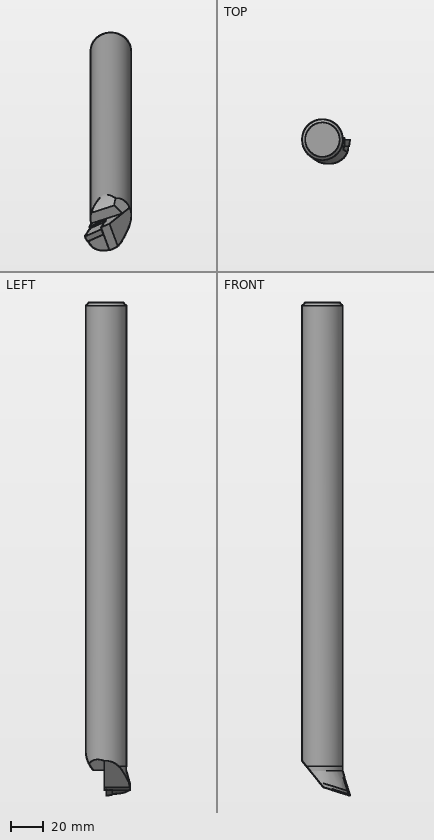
import cadquery as cq
import math


overall_length = 301.25
shank_diameter = 25.0
shank_radius = shank_diameter / 2
end_chamfer = 2.0
neck_diameter = 24.98
shank_bottom_z = 17.9
neck_bottom_z = 15.2

edge_angle = 17.5
edge_slope = math.tan(math.radians(edge_angle))
edge_cosine = math.cos(math.radians(edge_angle))
tip_x = 16.89

insert_corner_angle = 90 - 2 * edge_angle
insert_inscribed_diameter = 9.525
insert_thickness = 3.9
insert_clearance = 7.0
nose_radius = 0.4

half_corner = math.radians(insert_corner_angle / 2)
insert_side = insert_inscribed_diameter / math.sin(2 * half_corner)
half_long_diagonal = insert_side * math.cos(half_corner)
half_short_diagonal = insert_side * math.sin(half_corner)

nose_offset = nose_radius * (1 / math.sin(half_corner) * math.sqrt(0.5) - 1)
corner_x = tip_x + nose_offset
corner_z = -nose_offset
insert_center_x = corner_x - half_long_diagonal * math.sqrt(0.5)
insert_center_z = corner_z + half_long_diagonal * math.sqrt(0.5)

head_face_y = 1.15
head_floor_z = 15.5
back_angle = 51.2
back_slope = math.tan(math.radians(back_angle))
back_top_z = 21.3
back_twist = 19.2
flare_slope = 0.286
flare_break = 2.6
end_relief = 0.1
lower_end_relief = 0.75
side_relief = 0.8
relief_length = insert_side * edge_cosine

gullet_top_z = 27.5
gullet_radius = 17.4

reach = 2 * shank_diameter


def end_line_z(x, relief):
    """Height of the line parallel to the end cutting edge, set back by relief."""
    return corner_z + (corner_x - x) * edge_slope + relief / edge_cosine


def side_line_x(z, relief):
    """X of the line parallel to the side cutting edge, set back by relief."""
    return corner_x - (z - corner_z) * edge_slope - relief / edge_cosine


def toe_point(end_set_back, side_set_back):
    """X and Z where the set back end face meets the set back side face."""
    end_rise = end_set_back / edge_cosine
    side_shift = side_set_back / edge_cosine
    from_corner_z = (end_rise + side_shift * edge_slope) / (1 - edge_slope**2)
    from_corner_x = side_shift + from_corner_z * edge_slope
    return corner_x - from_corner_x, corner_z + from_corner_z


def prism_along_y(points, y_from, y_to):
    """Prism with an outline in X and Z, reaching from y_from to y_to."""
    return (
        cq.Workplane("XZ", origin=(0, y_from, 0))
        .polyline(points)
        .close()
        .extrude(y_from - y_to)
    )


def make_shank():
    shank = (
        cq.Workplane("XY", origin=(0, 0, shank_bottom_z))
        .circle(shank_radius)
        .extrude(overall_length - shank_bottom_z)
        .faces(">Z")
        .chamfer(end_chamfer)
    )
    neck = (
        cq.Workplane("XY", origin=(0, 0, neck_bottom_z))
        .circle(neck_diameter / 2)
        .extrude(shank_bottom_z - neck_bottom_z)
    )
    return shank.union(neck)


def make_flare():
    """Oblique cylinder leaning toward +X and -Y, then a straight band above the end face."""
    lean = neck_bottom_z * flare_slope
    oblique = (
        cq.Workplane("XY", origin=(0, 0, neck_bottom_z))
        .circle(neck_diameter / 2)
        .workplane(offset=-neck_bottom_z)
        .center(lean, -lean)
        .circle(neck_diameter / 2)
        .loft(ruled=True)
    )
    break_relief = flare_break * edge_cosine
    above_break = prism_along_y(
        [
            (-reach, end_line_z(-reach, break_relief)),
            (reach, end_line_z(reach, break_relief)),
            (reach, reach),
            (-reach, reach),
        ],
        -reach,
        reach,
    )
    upper = oblique.intersect(above_break)
    foot = upper.faces("<Z").val()
    band = cq.Workplane(cq.Solid.extrudeLinear(foot.outerWire(), [], cq.Vector(0, 0, -reach)))
    return upper.union(band)


def make_head_envelope():
    """Prism bounded by the back face, the end face and the relieved cutting edges."""
    back_start_z = back_top_z + (reach - shank_radius) * back_slope
    back_axis_z = back_top_z - shank_radius * back_slope
    heel_x = (back_axis_z - end_line_z(0, end_relief)) / (back_slope - edge_slope)
    heel_z = end_line_z(heel_x, end_relief)
    step_x = corner_x - relief_length
    step_z = corner_z + relief_length
    toe_x, toe_z = toe_point(lower_end_relief, side_relief)
    outline = [
        (-reach, back_start_z),
        (heel_x, heel_z),
        (step_x, end_line_z(step_x, end_relief)),
        (step_x, end_line_z(step_x, lower_end_relief)),
        (toe_x, toe_z),
        (side_line_x(step_z, side_relief), step_z),
        (reach, step_z),
        (reach, overall_length + reach),
        (-reach, overall_length + reach),
    ]
    return prism_along_y(outline, -reach, reach)


def make_twisted_back_cut():
    """Block below the upper back face, hinged on the back face at the insert flat."""
    hinge = cq.Plane(
        origin=(-shank_radius, head_face_y, back_top_z),
        xDir=(1, 0, -back_slope),
        normal=(-back_slope, 0, -1),
    ).rotated((back_twist, 0, 0))
    block = cq.Workplane(hinge).rect(2 * reach, 2 * reach).extrude(reach)
    above_flat = cq.Workplane("XY").box(2 * reach, reach, 2 * reach, centered=(True, False, True))
    return block.intersect(above_flat.translate((0, head_face_y, 0)))


def make_flat_cut():
    """Block that clears the +Y side below the shank down to the insert flat."""
    return cq.Workplane("XY").box(2 * reach, reach, reach, centered=(True, False, False)).translate(
        (0, head_face_y, head_floor_z - reach)
    )


def make_gullet_cut():
    """Rounded run-out of the chip gullet, tangent to the shank at its top."""
    drop = gullet_top_z - head_floor_z
    half_turn = math.asin(drop / gullet_radius) / 2
    arc_center_y = shank_radius - gullet_radius
    middle_y = arc_center_y + gullet_radius * math.cos(half_turn)
    middle_z = gullet_top_z - gullet_radius * math.sin(half_turn)
    end_y = arc_center_y + gullet_radius * math.cos(2 * half_turn)
    return (
        cq.Workplane("YZ", origin=(-reach, 0, 0))
        .moveTo(shank_radius, gullet_top_z)
        .threePointArc((middle_y, middle_z), (end_y, head_floor_z))
        .lineTo(reach, head_floor_z)
        .lineTo(reach, gullet_top_z)
        .close()
        .extrude(2 * reach)
    )


def insert_outline():
    """Rhombus in the rake plane, its long diagonal at 45 degrees through the tip."""
    plane = cq.Plane(
        origin=(insert_center_x, 0, insert_center_z),
        xDir=(1, 0, -1),
        normal=(0, -1, 0),
    )
    return (
        cq.Workplane(plane)
        .moveTo(half_long_diagonal, 0)
        .lineTo(0, half_short_diagonal)
        .lineTo(-half_long_diagonal, 0)
        .lineTo(0, -half_short_diagonal)
        .close()
    )


def make_insert():
    sharp = insert_outline().extrude(insert_thickness, taper=insert_clearance)
    envelope = insert_outline().extrude(insert_thickness).edges("|Y").fillet(nose_radius)
    return sharp.intersect(envelope)


def make_holder(insert):
    holder = make_shank().union(make_flare()).intersect(make_head_envelope())
    for cut in (make_flat_cut(), make_twisted_back_cut(), make_gullet_cut()):
        holder = holder.cut(cut)
    pocket_opening = insert_outline().extrude(-head_face_y)
    return holder.cut(insert).cut(pocket_opening)


insert = make_insert()
holder = make_holder(insert)

result = cq.Compound.makeCompound([holder.val(), insert.val()])